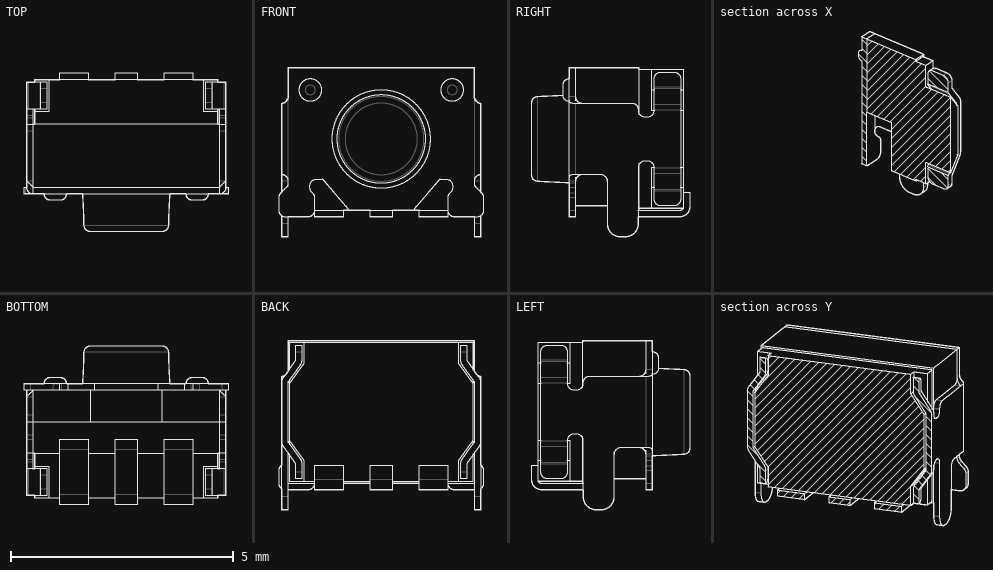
import cadquery as cq
import math


SHEET = 0.145
BEND_INNER = 0.06
BEND_OUTER = BEND_INNER + SHEET

BODY_HALF_WIDTH = 2.09
BODY_HALF_HEIGHT = 1.6
BODY_BACK = 1.565
BASE_HALF_WIDTH = 2.055
BASE_HALF_HEIGHT = 1.56
BASE_BACK = 2.565
NOSE_BACK = 0.855
NOSE_BOTTOM = -1.5

SLANT_FOOT = 0.718
SLANT_SLOPE = 1.17

RECESS_FRONT = 1.855
RECESS_FLOOR = 1.73
RECESS_SLOPE_START = 0.645
RECESS_SLOPE_END = 1.095

PLUNGER_BASE_RADIUS = 0.995
PLUNGER_TIP_RADIUS = 0.948
PLUNGER_LENGTH = 0.845
PLUNGER_ROUND = 0.145
PLUNGER_HOLE_RADIUS = 1.105

TERMINAL_PITCH = 1.175
SIDE_TERMINAL_WIDTH = 0.66
MIDDLE_TERMINAL_WIDTH = 0.51
TERMINAL_FRONT = 1.24
TERMINAL_TOP = -1.195
TERMINAL_BEND_INNER = 0.085
TERMINAL_BEND_OUTER = TERMINAL_BEND_INNER + SHEET

LUG_HALF_SPAN = 2.3
LUG_INNER = 1.495
LUG_BOTTOM = -BODY_HALF_HEIGHT - SHEET
LUG_NECK_TOP = -1.045
NOTCH_TOP = -0.905
NOTCH_OUTER = 1.605
NOTCH_NECK = -1.15
BUMP_X = 1.59
BUMP_Z = 1.1
BUMP_RADIUS = 0.255
BUMP_HEIGHT = 0.143

WING_HALF_HEIGHT = 0.8
WING_OUTER = BODY_HALF_WIDTH + SHEET
WING_BACK = 2.505
SLOT_FRONT = 1.555
SLOT_BACK = 1.905
SLOT_END = 0.49
LEG_FRONT = 0.855
LEG_BOTTOM = -2.2
LEG_ROUND = 0.3

CLIP_TIP_OUTER = 1.927
CLIP_BEND_START = 0.718
CLIP_BEND_END = 1.15
CLIP_END = 1.495


TOUCHING = 4.6e-08


def rounded_outline(plane, corners):
    """Closed outline through (u, v) or (u, v, radius) corners, the latter rounded."""
    starts, middles, ends = [], [], []
    count = len(corners)
    for i, corner in enumerate(corners):
        here = cq.Vector(*corner[:2])
        radius = corner[2] if len(corner) > 2 else 0
        if radius == 0:
            starts.append(here)
            middles.append(None)
            ends.append(here)
            continue
        to_last = (cq.Vector(*corners[i - 1][:2]) - here).normalized()
        to_next = (cq.Vector(*corners[(i + 1) % count][:2]) - here).normalized()
        half_angle = to_last.getAngle(to_next) / 2
        setback = radius / math.tan(half_angle)
        middle_distance = radius / math.sin(half_angle) - radius
        starts.append(here + to_last * setback)
        middles.append(here + (to_last + to_next).normalized() * middle_distance)
        ends.append(here + to_next * setback)

    def flat(point):
        return (point.x, point.y)

    outline = cq.Workplane(plane).moveTo(*flat(ends[-1]))
    position = ends[-1]
    for start, middle, end in zip(starts, middles, ends):
        if (start - position).Length > TOUCHING:
            outline = outline.lineTo(*flat(start))
        if middle is not None:
            outline = outline.threePointArc(flat(middle), flat(end))
        position = end
    return outline.close()


def mirrored_z(points):
    """The same corners below Z = 0, in reverse order."""
    return [(u, -v, *radius) for u, v, *radius in reversed(points)]


def mirrored_x(points):
    """The same corners left of X = 0, in reverse order."""
    return [(-u, *rest) for u, *rest in reversed(points)]


def box(half_width, front, back, bottom, top):
    """Block centred on X = 0, between the given Y and Z limits."""
    return (
        cq.Workplane("XY")
        .box(2 * half_width, back - front, top - bottom, centered=(True, False, False))
        .translate((0, front, bottom))
    )


def slant_x(z):
    """Distance of the lower slant from the middle plane at height z."""
    return SLANT_FOOT + (z + BODY_HALF_HEIGHT) / SLANT_SLOPE



def nose():
    """Front part of the housing, its lower corners cut off along the slants."""
    slant_top = -BODY_HALF_HEIGHT + (BODY_HALF_WIDTH - SLANT_FOOT) * SLANT_SLOPE
    right_side = [
        (BODY_HALF_WIDTH, BODY_HALF_HEIGHT),
        (BODY_HALF_WIDTH, slant_top),
        (slant_x(NOSE_BOTTOM), NOSE_BOTTOM),
    ]
    outline = cq.Workplane("XZ", origin=(0, SHEET, 0)).polyline(right_side + mirrored_x(right_side)).close()
    return outline.extrude(SHEET - NOSE_BACK)


def clip_recess():
    """Upper right recess, with a sloped lower end that follows the clip."""
    profile = [
        (BASE_HALF_WIDTH, RECESS_SLOPE_START),
        (RECESS_FLOOR, RECESS_SLOPE_END),
        (RECESS_FLOOR, BASE_HALF_HEIGHT),
        (BASE_HALF_WIDTH, BASE_HALF_HEIGHT),
    ]
    outline = cq.Workplane("XZ", origin=(0, RECESS_FRONT, 0)).polyline(profile).close()
    return outline.extrude(RECESS_FRONT - BASE_BACK)


def plunger():
    """Tapered round push button that stands on the nose."""
    tip = -PLUNGER_LENGTH
    blank = (
        cq.Workplane("YZ")
        .polyline([(SHEET, 0), (SHEET, PLUNGER_BASE_RADIUS), (tip, PLUNGER_TIP_RADIUS), (tip, 0)])
        .close()
        .revolve(360, (0, 0), (1, 0))
    )
    return blank.faces("<Y").edges().fillet(PLUNGER_ROUND)


def terminal(center_x, width):
    """Strip that leaves the housing downwards, runs under the base and turns up its back."""
    bottom = -BODY_HALF_HEIGHT - SHEET
    back = BASE_BACK + SHEET
    profile = [
        (TERMINAL_FRONT, NOSE_BOTTOM),
        (TERMINAL_FRONT, bottom, TERMINAL_BEND_OUTER),
        (back, bottom, TERMINAL_BEND_OUTER),
        (back, TERMINAL_TOP),
        (BASE_BACK, TERMINAL_TOP),
        (BASE_BACK, -BODY_HALF_HEIGHT, TERMINAL_BEND_INNER),
        (BODY_BACK, -BODY_HALF_HEIGHT),
        (BODY_BACK, NOSE_BOTTOM),
    ]
    return rounded_outline("YZ", profile).extrude(width / 2, both=True).translate((center_x, 0, 0))


def make_housing():
    """Body, stepped base, nose, plunger and the three terminals as one solid."""
    body = box(BODY_HALF_WIDTH, NOSE_BACK, BODY_BACK, -BODY_HALF_HEIGHT, BODY_HALF_HEIGHT)
    base = box(BASE_HALF_WIDTH, BODY_BACK, BASE_BACK, -BASE_HALF_HEIGHT, BASE_HALF_HEIGHT)
    recess = clip_recess()
    for pocket in (recess, recess.mirror("XY")):
        base = base.cut(pocket).cut(pocket.mirror("YZ"))
    housing = body.union(base).union(nose()).union(plunger())
    for center_x, width in (
        (-TERMINAL_PITCH, SIDE_TERMINAL_WIDTH),
        (0, MIDDLE_TERMINAL_WIDTH),
        (TERMINAL_PITCH, SIDE_TERMINAL_WIDTH),
    ):
        housing = housing.union(terminal(center_x, width))
    return housing



def front_plate():
    """Flat front with the plunger hole, two lugs at the bottom and a notch beside each lug."""
    lug_neck_bottom = LUG_NECK_TOP - (LUG_HALF_SPAN - BODY_HALF_WIDTH)
    notch_neck_bottom = NOTCH_NECK - (NOTCH_OUTER - LUG_INNER)
    right_side = [
        (BODY_HALF_WIDTH, BODY_HALF_HEIGHT),
        (BODY_HALF_WIDTH, LUG_NECK_TOP, SHEET),
        (LUG_HALF_SPAN, lug_neck_bottom, SHEET),
        (LUG_HALF_SPAN, LUG_BOTTOM, SHEET),
        (LUG_INNER, LUG_BOTTOM, SHEET),
        (LUG_INNER, notch_neck_bottom, SHEET),
        (NOTCH_OUTER, NOTCH_NECK, SHEET),
        (NOTCH_OUTER, NOTCH_TOP, SHEET),
        (slant_x(NOTCH_TOP), NOTCH_TOP),
        (SLANT_FOOT, -BODY_HALF_HEIGHT),
    ]
    plate = rounded_outline("XZ", right_side + mirrored_x(right_side)).extrude(-SHEET)
    hole = cq.Workplane("XZ").circle(PLUNGER_HOLE_RADIUS).extrude(-SHEET)
    return plate.cut(hole)


def bump(center_x):
    """Low round dome with a small flat top."""
    flat_radius = BUMP_RADIUS - BUMP_HEIGHT
    arc_step = BUMP_HEIGHT * math.sqrt(0.5)
    return (
        cq.Workplane("YZ")
        .lineTo(0, BUMP_RADIUS)
        .threePointArc((-arc_step, flat_radius + arc_step), (-BUMP_HEIGHT, flat_radius))
        .lineTo(-BUMP_HEIGHT, 0)
        .close()
        .revolve(360, (0, 0), (1, 0))
        .translate((center_x, 0, BUMP_Z))
    )


def clip_pair():
    """Rear strip of the wing with both ends bent inwards into the recesses."""
    clip_tip_inner = CLIP_TIP_OUTER - SHEET
    bend_angle = math.atan2(WING_OUTER - CLIP_TIP_OUTER, CLIP_BEND_END - CLIP_BEND_START)
    inner_shift = SHEET * math.tan(bend_angle / 2)
    upper_half = [
        (BODY_HALF_WIDTH, CLIP_BEND_START - inner_shift, BEND_INNER),
        (clip_tip_inner, CLIP_BEND_END - inner_shift, BEND_OUTER),
        (clip_tip_inner, CLIP_END),
        (CLIP_TIP_OUTER, CLIP_END),
        (CLIP_TIP_OUTER, CLIP_BEND_END, BEND_INNER),
        (WING_OUTER, CLIP_BEND_START, BEND_OUTER),
    ]
    strip = rounded_outline("XZ", upper_half + mirrored_z(upper_half)).extrude(SLOT_BACK - WING_BACK)
    strip = strip.translate((0, SLOT_BACK, 0))
    return strip.edges("|X").edges(">Z or <Z").fillet(SHEET)


def wing():
    """Right-hand wing: side panel with leg and slots, rounded front bend and a pair of clips."""
    flare_end = WING_HALF_HEIGHT + SHEET
    slot_root = SLOT_END + SHEET
    clip_middle = (SLOT_BACK + WING_BACK) / 2
    slot_to_clip = [
        (SLOT_FRONT, SLOT_END, SHEET),
        (SLOT_BACK, SLOT_END, SHEET),
        (SLOT_BACK, slot_root),
        (clip_middle, slot_root),
    ]
    panel_corners = [
        (0, flare_end),
        (SHEET, flare_end),
        (SHEET, WING_HALF_HEIGHT, SHEET),
        (SLOT_FRONT, WING_HALF_HEIGHT, SHEET),
        *slot_to_clip,
        *mirrored_z(slot_to_clip),
        (SLOT_FRONT, LEG_BOTTOM, LEG_ROUND),
        (LEG_FRONT, LEG_BOTTOM, LEG_ROUND),
        (LEG_FRONT, -WING_HALF_HEIGHT, SHEET),
        (SHEET, -WING_HALF_HEIGHT, SHEET),
        (SHEET, -flare_end),
        (0, -flare_end),
    ]
    panel = rounded_outline("YZ", panel_corners).extrude(SHEET).translate((BODY_HALF_WIDTH, 0, 0))
    bend_corners = [
        (BODY_HALF_WIDTH, 0),
        (WING_OUTER, 0, SHEET),
        (WING_OUTER, WING_BACK),
        (BODY_HALF_WIDTH, WING_BACK),
    ]
    bend = rounded_outline("XY", bend_corners).extrude(-LEG_BOTTOM, both=True)
    panel = panel.intersect(bend)
    for z in (flare_end, -flare_end):
        flare = cq.Workplane("XZ").center(WING_OUTER, z).circle(SHEET).extrude(-2 * SHEET)
        panel = panel.cut(flare)
    return panel.union(clip_pair())


def make_cover():
    """Front plate with both wings and two bumps as one solid."""
    right_wing = wing()
    cover = front_plate().union(right_wing).union(right_wing.mirror("YZ"))
    for center_x in (-BUMP_X, BUMP_X):
        cover = cover.union(bump(center_x))
    return cover



housing = make_housing()
cover = make_cover()
result = cq.Compound.makeCompound([housing.solids().val(), cover.solids().val()])